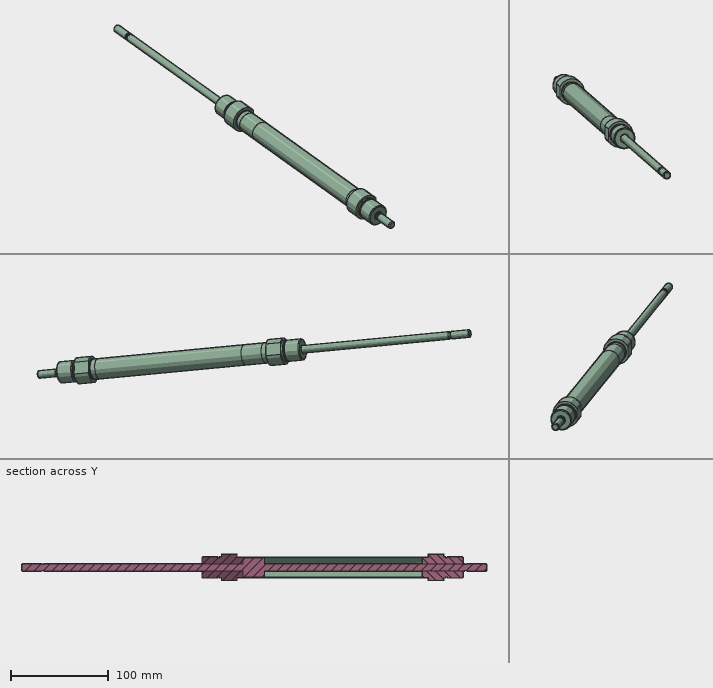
import cadquery as cq

ROD_LENGTH = 475.0
STROKE = 160.0
ROD_REACH = 24.0
LEFT_CAP_FACE = ROD_REACH + STROKE
RIGHT_CAP_FACE = ROD_LENGTH - ROD_REACH

TUBE_RADIUS = 10.6
BORE_RADIUS = 10.0

NOSE_RADIUS = 11.0
NOSE_LENGTH = 17.0
NOSE_CHAMFER = 1.0
UNDERCUT_LENGTH = 1.0
UNDERCUT_RADIUS = NOSE_RADIUS - NOSE_CHAMFER
SHOULDER_RADIUS = NOSE_RADIUS
SHOULDER_LENGTH = 2.0
COLLAR_RADIUS = 13.5
COLLAR_LENGTH = 16.0
COLLAR_FLAT_Y = 12.0
TUBE_SEAT_LENGTH = 1.0
SPIGOT_LENGTH = 5.0
ROD_HOLE_CHAMFER = 0.6

SHOULDER_START = NOSE_LENGTH + UNDERCUT_LENGTH
COLLAR_START = SHOULDER_START + SHOULDER_LENGTH
COLLAR_END = COLLAR_START + COLLAR_LENGTH
SEAT_END = COLLAR_END + TUBE_SEAT_LENGTH
CAP_LENGTH = SEAT_END + SPIGOT_LENGTH

ROD_RADIUS = 4.0
THREAD_LENGTH = 21.0
THREAD_CHAMFER = 1.0
THREAD_UNDERCUT_LENGTH = 2.0
THREAD_UNDERCUT_RADIUS = 3.3
PISTON_LENGTH = 22.0
PISTON_START = LEFT_CAP_FACE + CAP_LENGTH
PISTON_END = PISTON_START + PISTON_LENGTH


def revolve_about_x(points):
    """Turn a closed (x, radius) outline about the X axis."""
    return cq.Workplane("XZ").polyline(points).close().revolve(360, (0, 0, 0), (1, 0, 0))


def make_rod():
    """Through rod with its piston and a chamfered, undercut thread at each end."""
    chamfered_radius = ROD_RADIUS - THREAD_CHAMFER
    undercut_end = THREAD_LENGTH + THREAD_UNDERCUT_LENGTH
    thread = [
        (0, chamfered_radius),
        (THREAD_CHAMFER, ROD_RADIUS),
        (THREAD_LENGTH - THREAD_CHAMFER, ROD_RADIUS),
        (THREAD_LENGTH, THREAD_UNDERCUT_RADIUS),
        (undercut_end, THREAD_UNDERCUT_RADIUS),
        (undercut_end, ROD_RADIUS),
    ]
    piston = [
        (PISTON_START, ROD_RADIUS),
        (PISTON_START, BORE_RADIUS),
        (PISTON_END, BORE_RADIUS),
        (PISTON_END, ROD_RADIUS),
    ]
    mirrored_thread = [(ROD_LENGTH - x, radius) for x, radius in reversed(thread)]
    return revolve_about_x([(0, 0), *thread, *piston, *mirrored_thread, (ROD_LENGTH, 0)])


def make_cap(face_x, inward):
    """End cap whose outer face is at face_x; inward is +1 or -1 along X."""
    outline = [
        (ROD_HOLE_CHAMFER, ROD_RADIUS),
        (0, ROD_RADIUS + ROD_HOLE_CHAMFER),
        (0, NOSE_RADIUS - NOSE_CHAMFER),
        (NOSE_CHAMFER, NOSE_RADIUS),
        (NOSE_LENGTH - NOSE_CHAMFER, NOSE_RADIUS),
        (NOSE_LENGTH, UNDERCUT_RADIUS),
        (SHOULDER_START, UNDERCUT_RADIUS),
        (SHOULDER_START, SHOULDER_RADIUS),
        (COLLAR_START, SHOULDER_RADIUS),
        (COLLAR_START, COLLAR_RADIUS),
        (COLLAR_END, COLLAR_RADIUS),
        (COLLAR_END, TUBE_RADIUS),
        (SEAT_END, TUBE_RADIUS),
        (SEAT_END, BORE_RADIUS),
        (CAP_LENGTH, BORE_RADIUS),
        (CAP_LENGTH, ROD_RADIUS),
    ]
    cap = revolve_about_x([(face_x + inward * depth, radius) for depth, radius in outline])
    beyond_flat = (
        cq.Workplane("XY")
        .box(2 * CAP_LENGTH, COLLAR_RADIUS, 2 * COLLAR_RADIUS, centered=(True, False, True))
        .translate((face_x, COLLAR_FLAT_Y, 0))
    )
    return cap.cut(beyond_flat)


def make_tube():
    """Plain tube between the seats of the two caps."""
    left_end = LEFT_CAP_FACE + SEAT_END
    right_end = RIGHT_CAP_FACE - SEAT_END
    return revolve_about_x([
        (left_end, BORE_RADIUS),
        (left_end, TUBE_RADIUS),
        (right_end, TUBE_RADIUS),
        (right_end, BORE_RADIUS),
    ])


rod = make_rod()
tube = make_tube()
caps = [make_cap(LEFT_CAP_FACE, 1), make_cap(RIGHT_CAP_FACE, -1)]

result = cq.Compound.makeCompound([rod.val(), tube.val(), *[cap.val() for cap in caps]])